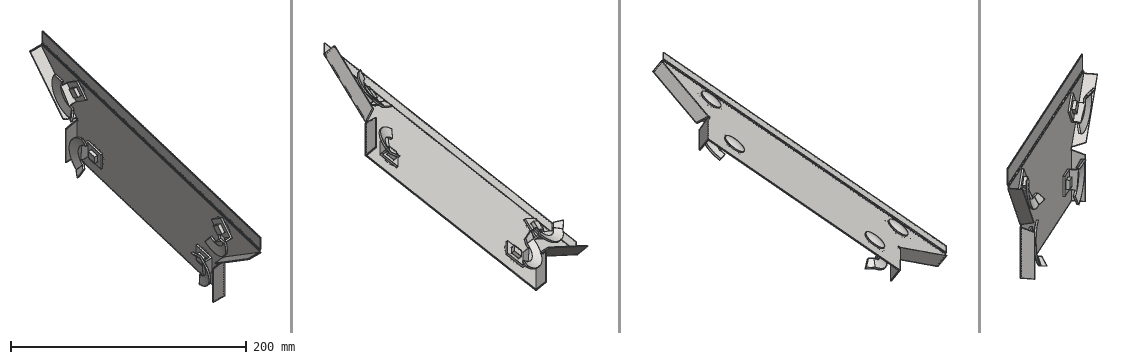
import cadquery as cq
import math


SHEET = 1.0
HEIGHT = 115.0
HALF_WIDTH = 151.5
STRIP_HALF_WIDTH = 150.2
SHOULDER_HEIGHT = 97.8
JOGGLE_START = 99.5
JOGGLE_END = 101.2
LOWER_HALF_WIDTH = 102.0
SLOPE_END = SHOULDER_HEIGHT - (HALF_WIDTH - LOWER_HALF_WIDTH)
NOTCH_WIDTH = 1.8
NOTCH_HEIGHT = 2.7
NOTCH_BOTTOM = SLOPE_END - NOTCH_HEIGHT
FLANGE_DEPTH = 12.7
FLANGE_MITRE = 3.5

HEAD_DIAMETER = 20.3
HEAD_HEIGHT = 3.0
HEAD_RIM = 1.2
SHANK_SIDE = 8.5
SHANK_END = 6.0

CAM_SHEET = 1.8
PLATE_HALF_SIDE = 9.0
WING_INNER_RADIUS = 13.3
WING_OUTER_RADIUS = 21.8
WING_START = -72.5
TIP_START = 62.0
TIP_END = 80.0
WING_FLOOR = 8.2
DISH_ANGLE = 20.0
WING_TILT = 4.0
TIP_BEND = 29.0
TALL = 30.3

UPPER_X = 99.3
UPPER_Y = 85.0
LOWER_X = 74.5
LOWER_Y = 25.0
LATCHES = [
    (-UPPER_X, UPPER_Y, 225),
    (UPPER_X, UPPER_Y, 315),
    (-LOWER_X, LOWER_Y, 180),
    (LOWER_X, LOWER_Y, 0),
]


def polar(radius, degrees):
    angle = math.radians(degrees)
    return (radius * math.cos(angle), radius * math.sin(angle))


def square(side, bottom, top):
    return cq.Workplane("XY").workplane(offset=bottom).rect(side, side).extrude(top - bottom)


def make_strip():
    """Top strip, stepped back by one sheet thickness through a sloping joggle."""
    section = [
        (SHOULDER_HEIGHT, 0),
        (SHOULDER_HEIGHT, SHEET),
        (JOGGLE_START, SHEET),
        (JOGGLE_END, 0),
        (HEIGHT, 0),
        (HEIGHT, -SHEET),
        (JOGGLE_END, -SHEET),
        (JOGGLE_START, 0),
    ]
    return cq.Workplane("YZ").polyline(section).close().extrude(STRIP_HALF_WIDTH, both=True)


def make_face():
    """Flat main sheet with sloping sides and a relief notch under each slope."""
    notch_x = LOWER_HALF_WIDTH - NOTCH_WIDTH
    right_side = [
        (LOWER_HALF_WIDTH, 0),
        (LOWER_HALF_WIDTH, NOTCH_BOTTOM),
        (notch_x, NOTCH_BOTTOM),
        (notch_x, SLOPE_END),
        (LOWER_HALF_WIDTH, SLOPE_END),
        (HALF_WIDTH, SHOULDER_HEIGHT),
    ]
    left_side = [(-x, y) for x, y in reversed(right_side)]
    return cq.Workplane("XY").polyline(right_side + left_side).close().extrude(SHEET)


def make_flange(edge_bottom, edge_top, inset, side_outline):
    """Right-hand flange along an edge: its thin footprint cut to the outline seen from the side."""
    footprint = [
        edge_bottom,
        edge_top,
        (edge_top[0] - inset, edge_top[1]),
        (edge_bottom[0] - inset, edge_bottom[1]),
    ]
    band = cq.Workplane("XY").polyline(footprint).close().extrude(FLANGE_DEPTH)
    outline = cq.Workplane("YZ").polyline(side_outline).close().extrude(HALF_WIDTH)
    return band.intersect(outline)


def make_panel():
    slope_flange = make_flange(
        (LOWER_HALF_WIDTH, SLOPE_END),
        (HALF_WIDTH, SHOULDER_HEIGHT),
        SHEET * math.sqrt(2),
        [
            (SLOPE_END, 0),
            (SHOULDER_HEIGHT, 0),
            (SHOULDER_HEIGHT, FLANGE_DEPTH),
            (SLOPE_END + FLANGE_MITRE, FLANGE_DEPTH),
            (SLOPE_END, SHEET),
        ],
    )
    lower_flange = make_flange(
        (LOWER_HALF_WIDTH, 0),
        (LOWER_HALF_WIDTH, NOTCH_BOTTOM),
        SHEET,
        [
            (0, 0),
            (NOTCH_BOTTOM, 0),
            (NOTCH_BOTTOM, SHEET),
            (NOTCH_BOTTOM - FLANGE_MITRE, FLANGE_DEPTH),
            (0, FLANGE_DEPTH),
        ],
    )
    panel = make_face().union(make_strip())
    for flange in (slope_flange, lower_flange):
        panel = panel.union(flange).union(flange.mirror("YZ"))
    for x, y, direction in LATCHES:
        hole = square(SHANK_SIDE, 0, SHEET)
        panel = panel.cut(place(hole, x, y, direction))
    return panel


def make_bolt():
    """Low domed head on a short rim, with the square shank standing in front of it."""
    radius = HEAD_DIAMETER / 2
    dome_height = HEAD_HEIGHT - HEAD_RIM
    dome_radius = (radius**2 + dome_height**2) / (2 * dome_height)
    dome_centre = dome_radius - HEAD_HEIGHT
    head = (
        cq.Workplane("XY")
        .circle(radius)
        .extrude(-HEAD_HEIGHT)
        .intersect(cq.Workplane("XY").sphere(dome_radius).translate((0, 0, dome_centre)))
    )
    return head.union(square(SHANK_SIDE, 0, SHANK_END))


def make_wing():
    """Wing before tilting: flat floor beside the web, conical ring sector and bent flat tip."""
    dish_slope = math.tan(math.radians(DISH_ANGLE))
    rise = (WING_OUTER_RADIUS - WING_INNER_RADIUS) * dish_slope

    beyond_plate = cq.Workplane("XY").box(TALL, TALL, TALL).translate((PLATE_HALF_SIDE + TALL / 2, 0, 0))
    floor = cq.Workplane("XY").circle(WING_INNER_RADIUS).extrude(CAM_SHEET).intersect(beyond_plate)

    section = [
        (WING_INNER_RADIUS, 0),
        (WING_OUTER_RADIUS, rise),
        (WING_OUTER_RADIUS, rise + CAM_SHEET),
        (WING_INNER_RADIUS, CAM_SHEET),
    ]
    dish = (
        cq.Workplane("XZ")
        .polyline(section)
        .close()
        .revolve(TIP_START - WING_START, (0, 0, 0), (0, 1, 0))
        .rotate((0, 0, 0), (0, 0, 1), WING_START)
    )

    end_line_inner = (WING_INNER_RADIUS, 0, 0)
    end_line_outer = (WING_OUTER_RADIUS, 0, rise)
    slab_low = -WING_INNER_RADIUS * dish_slope
    slab_high = (TALL - WING_INNER_RADIUS) * dish_slope
    slab_section = [
        (0, slab_low),
        (TALL, slab_high),
        (TALL, slab_high + CAM_SHEET),
        (0, slab_low + CAM_SHEET),
    ]
    slab = (
        cq.Workplane("XZ")
        .polyline(slab_section)
        .close()
        .extrude(TALL / 2, both=True)
        .rotate(end_line_inner, end_line_outer, TIP_BEND)
    )
    tip_sweep = TIP_END - TIP_START
    sector = (
        cq.Workplane("XY")
        .workplane(offset=-TALL / 2)
        .moveTo(WING_INNER_RADIUS, 0)
        .lineTo(WING_OUTER_RADIUS, 0)
        .threePointArc(polar(WING_OUTER_RADIUS, tip_sweep / 2), polar(WING_OUTER_RADIUS, tip_sweep))
        .lineTo(*polar(WING_INNER_RADIUS, tip_sweep))
        .threePointArc(polar(WING_INNER_RADIUS, tip_sweep / 2), (WING_INNER_RADIUS, 0))
        .close()
        .extrude(TALL)
    )
    tip = slab.intersect(sector).rotate((0, 0, 0), (0, 0, 1), TIP_START)
    return floor.union(dish).union(tip)


def make_cam():
    plate = square(2 * PLATE_HALF_SIDE, SHEET, SHEET + CAM_SHEET)

    web_rise = PLATE_HALF_SIDE * math.tan(math.radians(WING_TILT))
    web_edge = WING_FLOOR + CAM_SHEET / 2
    web = (
        cq.Workplane("YZ")
        .workplane(offset=PLATE_HALF_SIDE)
        .polyline([
            (-PLATE_HALF_SIDE, SHEET),
            (PLATE_HALF_SIDE, SHEET),
            (PLATE_HALF_SIDE, web_edge + web_rise),
            (-PLATE_HALF_SIDE, web_edge - web_rise),
        ])
        .close()
        .extrude(CAM_SHEET)
    )
    wing = make_wing().rotate((0, 0, 0), (1, 0, 0), WING_TILT).translate((0, 0, WING_FLOOR))
    hole = square(SHANK_SIDE, SHEET, SHEET + CAM_SHEET)
    return plate.union(web).union(wing).cut(hole)


def place(body, x, y, direction):
    return body.rotate((0, 0, 0), (0, 0, 1), direction).translate((x, y, 0))


def stand_up(body):
    return body.rotate((0, 0, 0), (1, 0, 0), 90)


panel = stand_up(make_panel())
bolts = [stand_up(place(make_bolt(), *latch)) for latch in LATCHES]
cams = [stand_up(place(make_cam(), *latch)) for latch in LATCHES]

result = cq.Compound.makeCompound([body.val() for body in [panel, *bolts, *cams]])